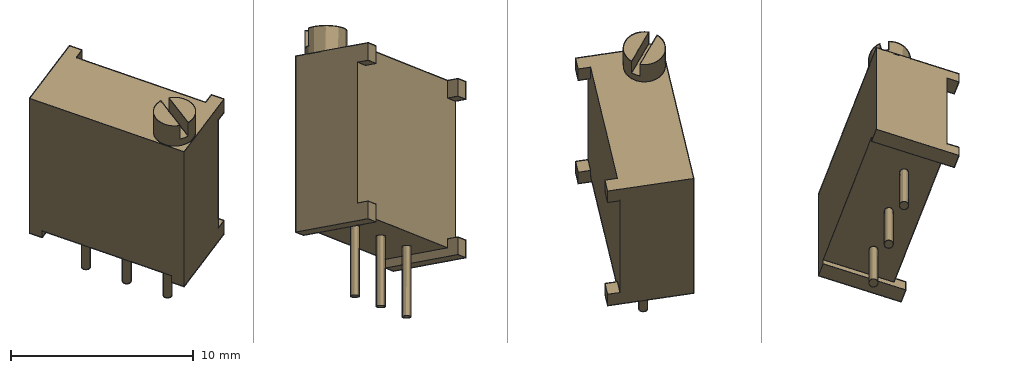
import cadquery as cq


body_width = 9.5
body_depth = 4.8
body_height = 10.0

pad_width = 0.78
pad_height = 1.0
pad_depth = 0.69
foot_height = 0.5

pin_diameter = 0.5
pin_pitch = 2.5
pin_length = 3.5
pin_count = 3

screw_diameter = 2.31
screw_height = 1.5
screw_edge_distance = 1.2
slot_width = 0.5
slot_depth = 1.0
slot_angle = -35.0

front_y = -body_depth / 2
rear_y = body_depth / 2
gap_between_pads = body_width - 2 * pad_width
screw_x = body_width / 2 - screw_edge_distance
screw_y = front_y + screw_edge_distance


def centered_block(width, depth, height):
    """Block centred on X and Y that stands on Z = 0."""
    return cq.Workplane("XY").box(width, depth, height, centered=(True, True, False))


def make_body():
    """Block with four rear corner pads and two feet along the bottom side edges."""
    block = centered_block(body_width, body_depth, body_height)

    recess_y = rear_y - pad_depth / 2
    upright_recess = centered_block(gap_between_pads, pad_depth, body_height).translate((0, recess_y, 0))
    side_recess = centered_block(body_width, pad_depth, body_height - 2 * pad_height).translate(
        (0, recess_y, pad_height)
    )

    underside_recess = centered_block(gap_between_pads, body_depth, foot_height)

    return block.cut(upright_recess).cut(side_recess).cut(underside_recess)


def make_pins():
    """Row of round pins hanging from the raised underside."""
    return (
        cq.Workplane("XY")
        .workplane(offset=-pin_length)
        .rarray(pin_pitch, 0.15, pin_count, 1)
        .circle(pin_diameter / 2)
        .extrude(pin_length + foot_height)
    )


def make_screw():
    """Screw head on the top face with a slanted driver slot across it."""
    head = cq.Workplane("XY").circle(screw_diameter / 2).extrude(screw_height)
    slot = (
        centered_block(2 * screw_diameter, slot_width, slot_depth)
        .rotate((0, 0, 0), (0, 0, 1), slot_angle)
        .translate((0, 0, screw_height - slot_depth))
    )
    return head.cut(slot).translate((screw_x, screw_y, body_height))


result = make_body().union(make_pins()).union(make_screw())